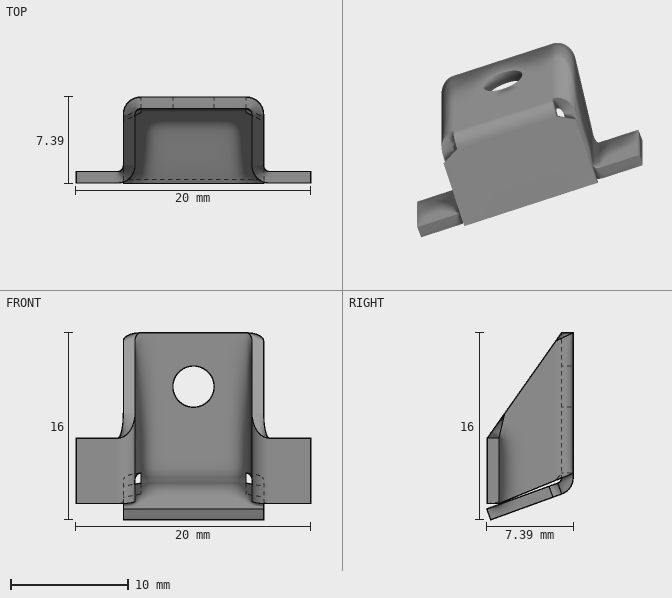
import cadquery as cq
import math


thickness = 1.0
inner_radius = 0.5
outer_radius = inner_radius + thickness

tray_width = 11.98
flange_span = 20.0
flange_depth = 7.35
flange_top_z = -9.0
corner_bottom_z = -11.98
flange_bottom_z = -14.58

hole_diameter = 3.5
hole_z = -4.6

tab_bend_z = -12.35
tab_slope = 20.0
tab_length = 6.45
tab_taper_length = 0.8

wall_outer_x = tray_width / 2
wall_inner_x = wall_outer_x - thickness
corner_x = wall_outer_x - outer_radius
corner_depth = outer_radius
flange_bend_x = wall_outer_x + inner_radius
flange_bend_depth = flange_depth - outer_radius
flange_back_depth = flange_depth - thickness

bend_sections = 13


def top_edge(depth):
    """Height of the sloping upper edge, measured on the inside face of the tray."""
    fraction = (depth - thickness) / (flange_depth - thickness)
    return flange_top_z * fraction


def bottom_edge(depth):
    """Height of the sloping lower edge, measured on the outside face of the tray."""
    fraction = depth / flange_back_depth
    return corner_bottom_z + (flange_bottom_z - corner_bottom_z) * fraction


def box_between(x_range, depth_range, z_range):
    """Box spanning the given X, depth and Z ranges."""
    size_x = x_range[1] - x_range[0]
    size_y = depth_range[1] - depth_range[0]
    size_z = z_range[1] - z_range[0]
    corner = (x_range[0], -depth_range[1], z_range[0])
    return cq.Workplane("XY").box(size_x, size_y, size_z, centered=False).translate(corner)


def vertical_bend(axis_x, axis_depth, start_angle, inside_radius, outside_radius):
    """Quarter-turn vertical bend with radial upper and lower edges.

    Angles run from +X towards the back. The inside and outside radii are those of
    the inside and outside faces of the tray, which set the edge heights.
    """
    sections = []
    for index in range(bend_sections):
        angle = math.radians(start_angle + 90.0 * index / (bend_sections - 1))
        across = math.cos(angle)
        forward = -math.sin(angle)
        top_z = top_edge(axis_depth + inside_radius * forward)
        bottom_z = bottom_edge(axis_depth + outside_radius * forward)
        corners = []
        for radius, z in (
            (inner_radius, bottom_z),
            (outer_radius, bottom_z),
            (outer_radius, top_z),
            (inner_radius, top_z),
        ):
            corners.append(cq.Vector(axis_x + radius * across, -axis_depth - radius * forward, z))
        sections.append(cq.Wire.makePolygon(corners, close=True))
    return cq.Workplane(obj=cq.Solid.makeLoft(sections))


def back_plate():
    plate = box_between((-corner_x, corner_x), (0, thickness), (tab_bend_z, 0))
    hole = cq.Workplane("XZ").center(0, hole_z).circle(hole_diameter / 2).extrude(thickness)
    return plate.cut(hole)


def side_wall():
    outline = [
        (-corner_depth, bottom_edge(corner_depth)),
        (-corner_depth, top_edge(corner_depth)),
        (-flange_bend_depth, top_edge(flange_bend_depth)),
        (-flange_bend_depth, bottom_edge(flange_bend_depth)),
    ]
    wall = cq.Workplane("YZ").workplane(offset=wall_inner_x).polyline(outline).close()
    return wall.extrude(thickness)


def right_side():
    """Corner bend, side wall, flange bend and flange on the +X side."""
    corner = vertical_bend(corner_x, corner_depth, 0, inner_radius, outer_radius)
    flange_bend = vertical_bend(flange_bend_x, flange_bend_depth, 180, outer_radius, inner_radius)
    flange = box_between(
        (flange_bend_x, flange_span / 2),
        (flange_back_depth, flange_depth),
        (flange_bottom_z, flange_top_z),
    )
    return corner.union(side_wall()).union(flange_bend).union(flange)


def tab_bend():
    """Bend from the back plate into the tab, narrow enough to clear the side walls."""
    turn = 90.0 - tab_slope
    middle_y = -thickness / 2
    strip = cq.Workplane("XY", origin=(0, middle_y, tab_bend_z)).rect(2 * corner_x, thickness)
    axis_y = -outer_radius - middle_y
    return strip.revolve(turn, (corner_x, axis_y, 0), (-corner_x, axis_y, 0))


def tab():
    """Flat sloping tab, tapering out to the full tray width just past its bend."""
    slope = math.radians(tab_slope)
    start_depth = outer_radius * (1 - math.sin(slope))
    start_z = tab_bend_z - outer_radius * math.cos(slope)
    underside = cq.Plane(
        origin=(0, -start_depth, start_z),
        xDir=(1, 0, 0),
        normal=(0, -math.sin(slope), math.cos(slope)),
    )
    outline = [
        (-corner_x, 0),
        (corner_x, 0),
        (wall_outer_x, -tab_taper_length),
        (wall_outer_x, -tab_length),
        (-wall_outer_x, -tab_length),
        (-wall_outer_x, -tab_taper_length),
    ]
    return cq.Workplane(underside).polyline(outline).close().extrude(thickness)


right = right_side()
left = right.mirror("YZ")
result = back_plate().union(right).union(left).union(tab_bend()).union(tab())